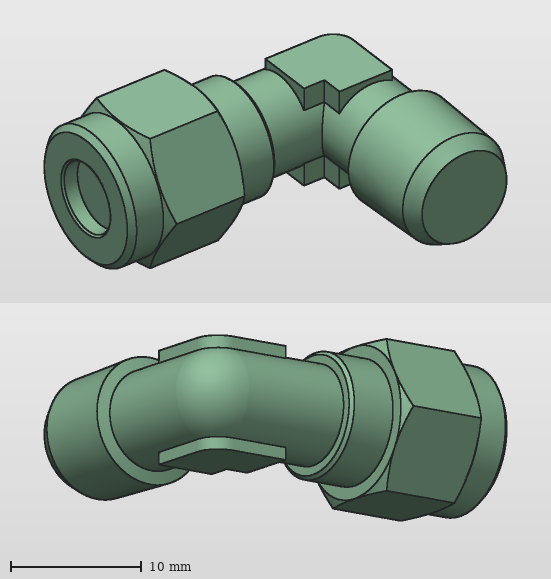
import cadquery as cq
import math


pipe_radius = 4.0

taper_start = 8.55
taper_radius = 5.02
taper_lead_length = 0.25
taper_chamfer_start = 15.58
taper_small_radius = 4.82
taper_end = 17.0
taper_tip_radius = 4.02

collar_start = 9.02
collar_radius = 5.0
collar_chamfer = 0.29
nut_start = 12.98
nut_end = 20.45
nut_across_flats = 12.0
nut_corner_chamfer = 0.5
overall_length = 28.53
leg_end = overall_length - taper_radius
nose_radius = 5.9
nose_chamfer = 0.5

socket_radius = 3.02
socket_mouth_radius = 3.2
socket_mouth_length = 0.17
socket_depth = 1.43

pad_height = 4.5
pad_corner_radius = 1.88
pad_reach = 5.08
pad_notch = 3.15


def revolve_on_x(profile):
    """Revolve (position, radius) points about the X axis."""
    return cq.Workplane("XY").polyline(profile).close().revolve(360, (0, 0, 0), (1, 0, 0))


def revolve_on_leg(profile):
    """Revolve (distance along the leg, radius) points about the -Y leg."""
    return revolve_on_x(profile).rotate((0, 0, 0), (0, 0, 1), -90)


def make_elbow():
    pipe_x = cq.Workplane("YZ").circle(pipe_radius).extrude(taper_start)
    pipe_y = cq.Workplane("XZ").circle(pipe_radius).extrude(collar_start)
    return cq.Workplane("XY").sphere(pipe_radius).union(pipe_x).union(pipe_y)


def make_tapered_end():
    return revolve_on_x([
        (taper_start, 0),
        (taper_start, pipe_radius),
        (taper_start + taper_lead_length, taper_radius),
        (taper_chamfer_start, taper_small_radius),
        (taper_end, taper_tip_radius),
        (taper_end, 0),
    ])


def make_collar():
    return revolve_on_leg([
        (collar_start, 0),
        (collar_start, collar_radius - collar_chamfer),
        (collar_start + collar_chamfer, collar_radius),
        (nut_start, collar_radius),
        (nut_start, 0),
    ])


def make_nut():
    """Hexagon with corners on X, its corners turned down by cones at both ends."""
    flat_radius = nut_across_flats / 2
    corner_radius = flat_radius / math.cos(math.radians(30))
    hexagon = (
        cq.Workplane("XZ", origin=(0, -nut_start, 0))
        .polygon(6, 2 * corner_radius)
        .extrude(nut_end - nut_start)
    )
    cones = revolve_on_leg([
        (nut_start, 0),
        (nut_start, flat_radius),
        (nut_start + nut_corner_chamfer, corner_radius),
        (nut_end - nut_corner_chamfer, corner_radius),
        (nut_end, nose_radius),
        (nut_end, 0),
    ])
    return hexagon.intersect(cones)


def make_nose():
    return revolve_on_leg([
        (nut_end, 0),
        (nut_end, nose_radius),
        (leg_end - nose_chamfer, nose_radius),
        (leg_end, nose_radius - nose_chamfer),
        (leg_end, 0),
    ])


def make_socket():
    return revolve_on_leg([
        (leg_end, 0),
        (leg_end, socket_mouth_radius),
        (leg_end - socket_mouth_length, socket_radius),
        (leg_end - socket_depth, socket_radius),
        (leg_end - socket_depth, 0),
    ])


def make_pads():
    """Notched square block through the elbow; its ends stand out above and below as pads."""
    arc_middle = pad_corner_radius * math.sqrt(0.5)
    return (
        cq.Workplane("XY", origin=(0, 0, -pad_height))
        .moveTo(-pad_corner_radius, 0)
        .threePointArc((-arc_middle, arc_middle), (0, pad_corner_radius))
        .lineTo(pad_reach, pad_corner_radius)
        .lineTo(pad_reach, -pad_notch)
        .lineTo(pad_notch, -pad_notch)
        .lineTo(pad_notch, -pad_reach)
        .lineTo(-pad_corner_radius, -pad_reach)
        .close()
        .extrude(2 * pad_height)
    )


result = make_elbow()
for feature in (make_pads(), make_tapered_end(), make_collar(), make_nut(), make_nose()):
    result = result.union(feature)
result = result.cut(make_socket())